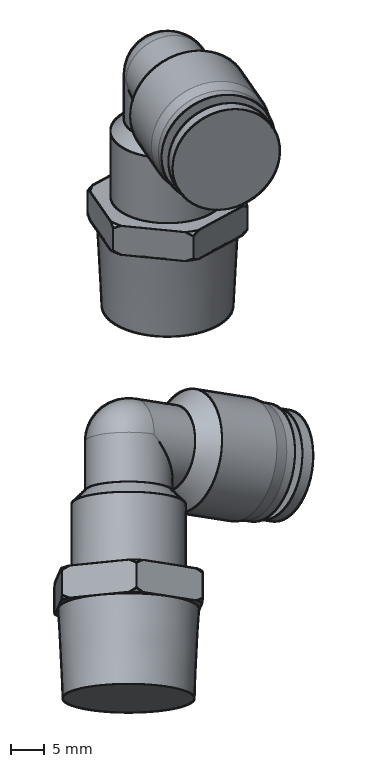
import cadquery as cq
import math

thread_top_diameter = 20.955
thread_foot_diameter = 19.6
thread_length = 13.6

hex_across_flats = 21.0
hex_height = 4.9
hex_corner_chamfer = 0.55
hex_across_corners = hex_across_flats / math.cos(math.radians(30))
hex_bottom = thread_length
hex_top = hex_bottom + hex_height

body_diameter = 17.0
elbow_diameter = 13.0
body_height = 11.0
body_top = hex_top + body_height
shoulder_top = body_top + (body_diameter - elbow_diameter) / 2
elbow_center_height = 39.0

socket_diameter = 18.6
lip_diameter = 17.8
collar_neck_diameter = 11.7
collar_diameter = 16.8
pipe_end = 7.5
socket_start = 10.4
socket_end = 20.4
lip_start = 22.5
lip_end = 24.0
collar_start = 25.7
collar_end = 27.7


def tapered_thread():
    """Plain cone standing in for the tapered thread."""
    return (
        cq.Workplane("XY")
        .circle(thread_foot_diameter / 2)
        .workplane(offset=thread_length)
        .circle(thread_top_diameter / 2)
        .loft(ruled=True)
    )


def wrench_hexagon():
    """Hexagon with corners on the X axis, turned down at both corner rims."""
    prism = (
        cq.Workplane("XY", origin=(0, 0, hex_bottom))
        .polygon(6, hex_across_corners)
        .extrude(hex_height)
    )
    turned_blank = (
        cq.Workplane("XY", origin=(0, 0, hex_bottom))
        .circle(hex_across_corners / 2)
        .extrude(hex_height)
        .faces("<Z or >Z")
        .chamfer(hex_corner_chamfer)
    )
    return prism.intersect(turned_blank)


def upright_body():
    """Stepped column with a conical shoulder, ending at the elbow centre."""
    body_radius = body_diameter / 2
    elbow_radius = elbow_diameter / 2
    profile = [
        (0, hex_top),
        (body_radius, hex_top),
        (body_radius, body_top),
        (elbow_radius, shoulder_top),
        (elbow_radius, elbow_center_height),
        (0, elbow_center_height),
    ]
    return cq.Workplane("XZ").polyline(profile).close().revolve(360, (0, 0), (0, 1))


def elbow_ball():
    """Ball that rounds the outside of the elbow."""
    return cq.Workplane("XY", origin=(0, 0, elbow_center_height)).sphere(elbow_diameter / 2)


def socket_arm():
    """Horizontal pipe, socket, lip and release collar, turned about the arm axis."""
    profile = [
        (0, 0),
        (0, elbow_diameter / 2),
        (pipe_end, elbow_diameter / 2),
        (socket_start, socket_diameter / 2),
        (socket_end, socket_diameter / 2),
        (lip_start, lip_diameter / 2),
        (lip_end, lip_diameter / 2),
        (lip_end, collar_neck_diameter / 2),
        (collar_start, collar_neck_diameter / 2),
        (collar_start, collar_diameter / 2),
        (collar_end, collar_diameter / 2),
        (collar_end, 0),
    ]
    return (
        cq.Workplane("XZ", origin=(0, 0, elbow_center_height))
        .polyline(profile)
        .close()
        .revolve(360, (0, 0), (1, 0))
    )


result = (
    tapered_thread()
    .union(wrench_hexagon())
    .union(upright_body())
    .union(socket_arm())
    .union(elbow_ball())
)